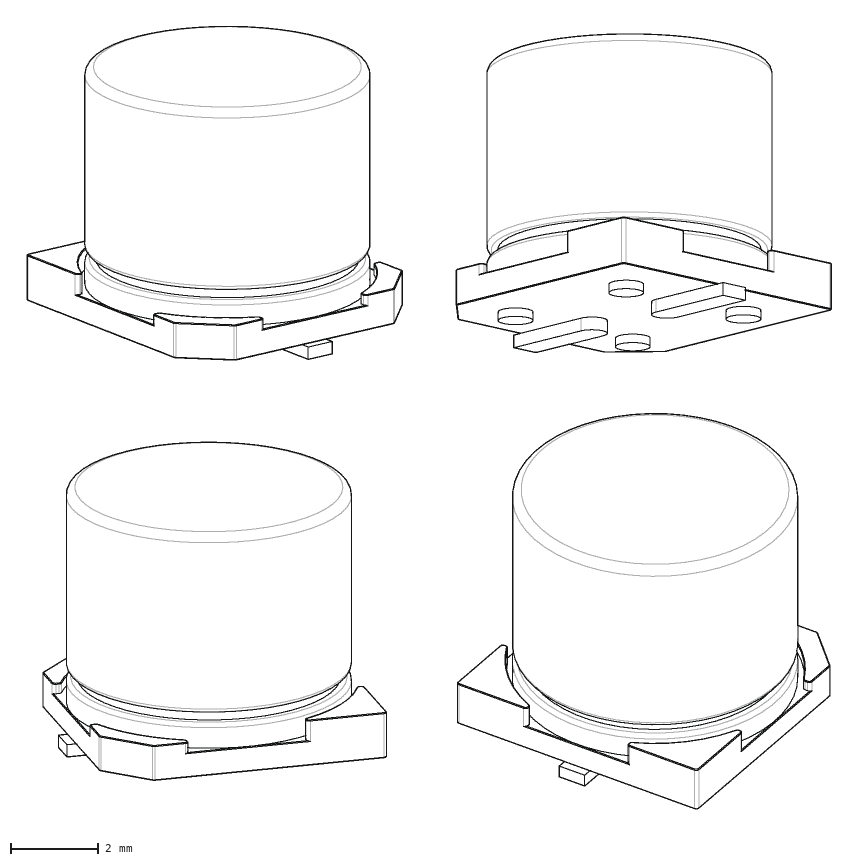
import cadquery as cq

total_height = 6.1

lead_span = 7.0
lead_width = 0.7
lead_thickness = 0.3
lead_inner_gap = 1.8
peg_diameter = 0.8
peg_height = 0.2
peg_offset = 1.85

base_size = 6.6
corner_chamfer = 1.0
vertical_fillet = 0.08
edge_break = 0.02
base_bottom = lead_thickness
floor_top = 0.9
square_post_top = 1.4
chamfered_post_top = 1.15
square_post_start = 1.37
chamfered_post_start = 1.46
post_clearance_radius = 3.43

can_diameter = 6.55
groove_diameter = 6.05
groove_bottom = 1.5
groove_top = 1.75
groove_edge_fillet = 0.1
can_top_fillet = 0.2

half_base = base_size / 2
can_radius = can_diameter / 2
groove_radius = groove_diameter / 2


def base_plate():
    """Square plate with the two +X corners cut at 45 degrees."""
    plate = cq.Workplane("XY").workplane(offset=base_bottom)
    plate = plate.rect(base_size, base_size).extrude(floor_top - base_bottom)
    plate = plate.edges("|Z and >X").chamfer(corner_chamfer)
    plate = plate.edges("|Z").fillet(vertical_fillet)
    return plate.faces("<Z or >Z").edges().chamfer(edge_break)


def corner_post(x_sign, y_sign):
    """Post on one base corner, flush with the plate and hollowed on the inside around the can."""
    is_chamfered = x_sign > 0
    start = chamfered_post_start if is_chamfered else square_post_start
    top = chamfered_post_top if is_chamfered else square_post_top
    side = half_base - start
    center = (half_base + start) / 2
    height = top - base_bottom

    post = cq.Workplane("XY").workplane(offset=base_bottom)
    post = post.center(x_sign * center, y_sign * center).rect(side, side).extrude(height)
    if is_chamfered:
        outer_corner = ">X and >Y" if y_sign > 0 else ">X and <Y"
        post = post.edges(f"|Z and {outer_corner}").chamfer(corner_chamfer)
    clearance = cq.Workplane("XY").workplane(offset=base_bottom)
    clearance = clearance.circle(post_clearance_radius).extrude(height)
    post = post.cut(clearance)
    post = post.edges("|Z").fillet(vertical_fillet)
    return post.faces("<Z or >Z").edges().chamfer(edge_break)


def can():
    """Closed can with a crimp groove near the base and rounded rims."""
    lower_rim = cq.Workplane("XY").workplane(offset=floor_top)
    lower_rim = lower_rim.circle(can_radius).extrude(groove_bottom - floor_top)
    lower_rim = lower_rim.faces(">Z").edges().fillet(groove_edge_fillet)

    neck = cq.Workplane("XY").workplane(offset=floor_top)
    neck = neck.circle(groove_radius).extrude(groove_top + groove_edge_fillet - floor_top)

    body = cq.Workplane("XY").workplane(offset=groove_top)
    body = body.circle(can_radius).extrude(total_height - groove_top)
    body = body.faces("<Z").edges().fillet(groove_edge_fillet)
    body = body.faces(">Z").edges().fillet(can_top_fillet)
    return lower_rim.union(neck).union(body)


def lead(x_sign):
    """Flat terminal that sticks out past the base, with a round inner end."""
    outer_x = lead_span / 2
    end_center_x = lead_inner_gap / 2 + lead_width / 2
    bar_length = outer_x - end_center_x
    bar = cq.Workplane("XY").center(x_sign * (outer_x + end_center_x) / 2, 0)
    bar = bar.rect(bar_length, lead_width).extrude(lead_thickness)
    end = cq.Workplane("XY").center(x_sign * end_center_x, 0)
    end = end.circle(lead_width / 2).extrude(lead_thickness)
    return bar.union(end)


def pegs():
    """Four round pegs on the underside of the base."""
    layout = cq.Workplane("XY").workplane(offset=base_bottom - peg_height)
    layout = layout.rect(2 * peg_offset, 2 * peg_offset, forConstruction=True).vertices()
    return layout.circle(peg_diameter / 2).extrude(peg_height)


result = base_plate()
for x_side in (-1, 1):
    for y_side in (-1, 1):
        result = result.union(corner_post(x_side, y_side))
    result = result.union(lead(x_side))
result = result.union(can()).union(pegs())